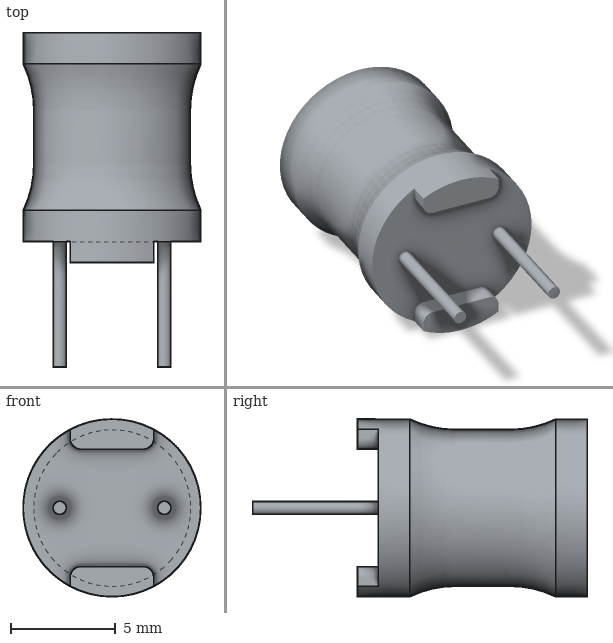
import cadquery as cq
import math

body_length = 10.0
flange_radius = 8.5 / 2
waist_radius = 7.5 / 2
flange_thickness = 1.5
flare_radius = 5.0

foot_width = 4.0
foot_height = 1.0
foot_depth = 1.44
foot_corner_radius = 0.5

pin_diameter = 0.63
pin_spacing = 5.0
pin_length = 6.0


def make_body():
    """Two flanges joined to a narrower waist by concave flares."""
    def flare_length(rise):
        return math.sqrt(flare_radius**2 - (flare_radius - rise)**2)

    flare_rise = flange_radius - waist_radius
    front_flare_start = flange_thickness
    front_flare_end = front_flare_start + flare_length(flare_rise)
    back_flare_start = body_length - front_flare_end
    back_flare_end = body_length - flange_thickness

    middle_radius = waist_radius + flare_rise / 2
    middle_offset = flare_length(flare_rise / 2)

    return (
        cq.Workplane("XY")
        .lineTo(flange_radius, 0)
        .lineTo(flange_radius, front_flare_start)
        .threePointArc((middle_radius, front_flare_end - middle_offset), (waist_radius, front_flare_end))
        .lineTo(waist_radius, back_flare_start)
        .threePointArc((middle_radius, back_flare_start + middle_offset), (flange_radius, back_flare_end))
        .lineTo(flange_radius, body_length)
        .lineTo(0, body_length)
        .close()
        .revolve(360, (0, 0, 0), (0, 1, 0))
    )


def make_foot(side):
    """Foot at the +Z (side = 1) or -Z (side = -1) rim, trimmed to the flange circle."""
    block_depth = 2 * foot_depth
    center_z = side * flange_radius
    block = (
        cq.Workplane("XZ")
        .center(0, center_z)
        .rect(foot_width, block_depth)
        .extrude(foot_height)
        .edges("|Y")
        .fillet(foot_corner_radius)
    )
    flange_cylinder = cq.Workplane("XZ").circle(flange_radius).extrude(foot_height)
    return block.intersect(flange_cylinder)


def make_pins():
    """Pair of round leads standing out from the mounting face toward -Y."""
    return (
        cq.Workplane("XZ")
        .pushPoints([(-pin_spacing / 2, 0), (pin_spacing / 2, 0)])
        .circle(pin_diameter / 2)
        .extrude(pin_length)
    )


result = make_body().union(make_pins())
for rim_side in (1, -1):
    result = result.union(make_foot(rim_side))